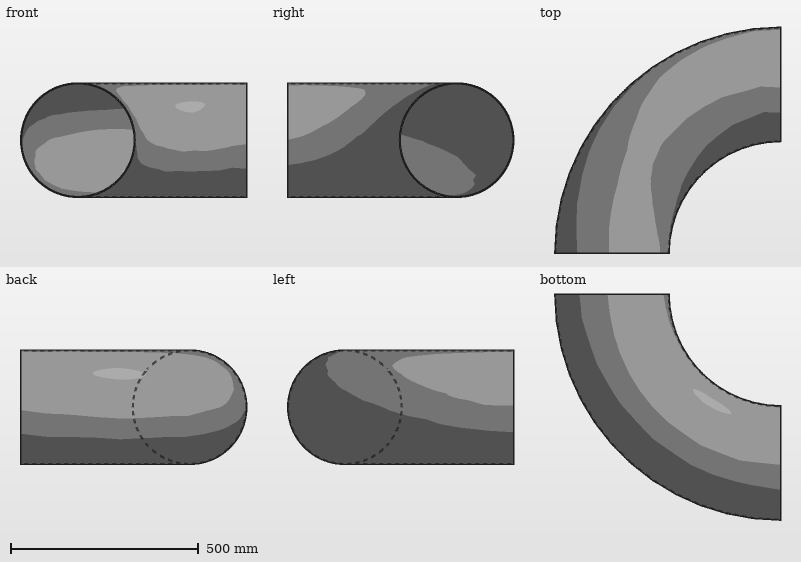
import cadquery as cq

overall_size = 603.0
outer_diameter = 306.0
wall_thickness = 3.0
bend_angle = 90.0

outer_radius = outer_diameter / 2
inner_radius = outer_radius - wall_thickness
bend_radius = overall_size - outer_radius


def pipe_elbow():
    """Sweep the ring section of the pipe around the vertical bend axis through the origin.

    The section starts in the XZ plane on the -X side, so one mouth faces -Y,
    and turns clockwise seen from above, so the other mouth faces +X.
    """
    section = (
        cq.Workplane("XZ")
        .center(-bend_radius, 0)
        .circle(outer_radius)
        .circle(inner_radius)
    )
    axis_start = (bend_radius, 0)
    axis_end = (bend_radius, -1)
    return section.revolve(bend_angle, axis_start, axis_end)


result = pipe_elbow()